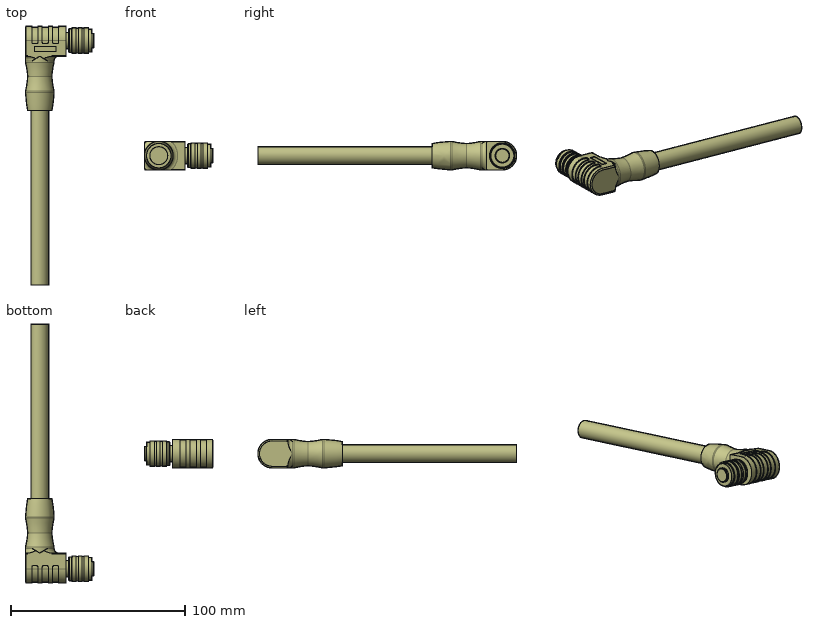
import cadquery as cq
import math


HEIGHT = 16.5
HALF_HEIGHT = HEIGHT / 2
BLOCK_LEFT = -HALF_HEIGHT
BLOCK_RIGHT = 15.05
BLOCK_FRONT = -9.0
BLOCK_EDGE_CHAMFER = 0.4
END_CHAMFER_DEPTH = 1.0
END_CHAMFER_INSET = 0.4

FINGER_COUNT = 3
FINGER_WIDTH = 3.5
FINGER_PITCH = 5.95
FIRST_FINGER_X = -2.8
FINGER_DEPTH = 0.5
FINGER_FRONT = -1.8
FINGER_CORNER = 0.9

LABEL_LEFT = -2.9
LABEL_RIGHT = 9.3
LABEL_BACK = -3.5
LABEL_FRONT = -6.3
LABEL_DEPTH = 0.2

COLLAR_RADIUS = HALF_HEIGHT
FILLET_RADIUS = 2.6
COLLAR_Y = -12.5
RELIEF_HALF_WIDTH = 5.8
WAIST_RADIUS = 7.0
WAIST_Y = -20.5
WAIST_SAG = 0.2
BAND_BACK = -29.0
BAND_FRONT = -29.8
GRIP_END = -40.2
GRIP_END_RADIUS = 7.0
TAPER_BULGE = 0.2
CABLE_RADIUS = 5.15
CABLE_LENGTH = 100.0

NECK_RADIUS = 4.75
CARRIER_RADIUS = 4.15
CARRIER_END = 31.15
CARRIER_CHAMFER = 0.35

NUT_START = 16.4
NUT_SHOULDER = 18.6
NUT_BODY_END = 28.0
NUT_END = 29.8
REAR_RADIUS = 6.9
REAR_CHAMFER = 0.6
NUT_RADIUS = 7.35
NUT_END_RADIUS = 6.6
GROOVE_DEPTH = 0.2
GROOVES = ((20.9, 22.2), (24.3, 25.4))
UNDERCUT_START = 18.2
UNDERCUT_RADIUS = REAR_RADIUS - GROOVE_DEPTH


def back_outline(margin, front):
    """Block section in the YZ plane: a half round back with straight sides, shrunk by margin."""
    half = HALF_HEIGHT - margin
    return (
        cq.Workplane("YZ")
        .moveTo(front, -half)
        .lineTo(0, -half)
        .threePointArc((half, 0), (0, half))
        .lineTo(front, half)
        .close()
    )


def make_block():
    length = BLOCK_RIGHT - BLOCK_LEFT
    block = back_outline(0, BLOCK_FRONT).extrude(length).translate((BLOCK_LEFT, 0, 0))
    block = block.faces("<Y").edges("|X").chamfer(BLOCK_EDGE_CHAMFER)
    end_edges = block.faces("<X").edges("not(<Y)")
    return end_edges.chamfer(END_CHAMFER_DEPTH, END_CHAMFER_INSET)


def finger_recess(center_x):
    """Wrap-around shell, open at the front, with rounded front corners."""
    back = 2 * HALF_HEIGHT
    band = (
        cq.Workplane("XY")
        .box(FINGER_WIDTH, back - FINGER_FRONT, HEIGHT, centered=(True, False, True))
        .edges("|Z and <Y")
        .fillet(FINGER_CORNER)
        .translate((center_x, FINGER_FRONT, 0))
    )
    core = back_outline(FINGER_DEPTH, BLOCK_FRONT).extrude(FINGER_WIDTH)
    return band.cut(core.translate((center_x - FINGER_WIDTH / 2, 0, 0)))


def label_recess():
    """Shallow rectangular pocket in the top face."""
    length = LABEL_RIGHT - LABEL_LEFT
    width = LABEL_BACK - LABEL_FRONT
    pocket = cq.Workplane("XY").box(length, width, LABEL_DEPTH, centered=False)
    return pocket.translate((LABEL_LEFT, LABEL_FRONT, HALF_HEIGHT - LABEL_DEPTH))


def make_root():
    """Flared foot of the grip, trimmed flush with the sides and the left end of the block.

    Triangular reliefs at top and bottom leave the round collar bare, so the flare fades out there.
    """
    flare_front = BLOCK_FRONT - FILLET_RADIUS
    arc_reach = FILLET_RADIUS * (1 - math.sqrt(0.5))
    flare = (
        cq.Workplane("XY")
        .moveTo(0, 0)
        .lineTo(COLLAR_RADIUS + FILLET_RADIUS, 0)
        .lineTo(COLLAR_RADIUS + FILLET_RADIUS, BLOCK_FRONT)
        .threePointArc(
            (COLLAR_RADIUS + arc_reach, BLOCK_FRONT - arc_reach),
            (COLLAR_RADIUS, flare_front),
        )
        .lineTo(COLLAR_RADIUS, COLLAR_Y)
        .lineTo(0, COLLAR_Y)
        .close()
        .revolve(360, (0, 0, 0), (0, 1, 0))
    )
    trim_back = BLOCK_FRONT + BLOCK_EDGE_CHAMFER
    trim = cq.Workplane("XY").box(
        BLOCK_RIGHT - BLOCK_LEFT, trim_back - COLLAR_Y, HEIGHT, centered=(False, False, True)
    ).translate((BLOCK_LEFT, COLLAR_Y, 0))
    relief = (
        cq.Workplane("XY")
        .moveTo(0, BLOCK_FRONT)
        .lineTo(RELIEF_HALF_WIDTH, COLLAR_Y)
        .lineTo(-RELIEF_HALF_WIDTH, COLLAR_Y)
        .close()
        .extrude(HALF_HEIGHT, both=True)
    )
    return flare.intersect(trim).cut(relief)


def make_grip_and_cable():
    waist_middle_radius = (COLLAR_RADIUS + WAIST_RADIUS) / 2 - WAIST_SAG
    upper_middle = (waist_middle_radius, (COLLAR_Y + WAIST_Y) / 2)
    lower_middle = (waist_middle_radius, (WAIST_Y + BAND_BACK) / 2)
    taper_middle = (
        (COLLAR_RADIUS + GRIP_END_RADIUS) / 2 + TAPER_BULGE,
        (BAND_FRONT + GRIP_END) / 2,
    )
    cable_end = GRIP_END - CABLE_LENGTH
    return (
        cq.Workplane("XY")
        .moveTo(0, BLOCK_FRONT)
        .lineTo(COLLAR_RADIUS, BLOCK_FRONT)
        .lineTo(COLLAR_RADIUS, COLLAR_Y)
        .threePointArc(upper_middle, (WAIST_RADIUS, WAIST_Y))
        .threePointArc(lower_middle, (COLLAR_RADIUS, BAND_BACK))
        .lineTo(COLLAR_RADIUS, BAND_FRONT)
        .threePointArc(taper_middle, (GRIP_END_RADIUS, GRIP_END))
        .lineTo(CABLE_RADIUS, GRIP_END)
        .lineTo(CABLE_RADIUS, cable_end)
        .lineTo(0, cable_end)
        .close()
        .revolve(360, (0, 0, 0), (0, 1, 0))
    )


def make_carrier():
    neck = cq.Workplane("YZ").workplane(offset=BLOCK_RIGHT).circle(NECK_RADIUS)
    neck = neck.extrude(NUT_SHOULDER - BLOCK_RIGHT)
    tip = cq.Workplane("YZ").workplane(offset=NUT_SHOULDER).circle(CARRIER_RADIUS)
    tip = tip.extrude(CARRIER_END - NUT_SHOULDER).faces(">X").chamfer(CARRIER_CHAMFER)
    return neck.union(tip)


def make_housing(carrier):
    housing = make_block().cut(label_recess())
    for index in range(FINGER_COUNT):
        housing = housing.cut(finger_recess(FIRST_FINGER_X + index * FINGER_PITCH))
    return housing.union(make_root()).union(make_grip_and_cable()).union(carrier)


def make_nut(carrier):
    groove_radius = NUT_RADIUS - GROOVE_DEPTH
    profile = (
        cq.Workplane("XY")
        .moveTo(NUT_START, 0)
        .lineTo(NUT_START, REAR_RADIUS - REAR_CHAMFER)
        .lineTo(NUT_START + REAR_CHAMFER, REAR_RADIUS)
        .lineTo(UNDERCUT_START, REAR_RADIUS)
        .lineTo(UNDERCUT_START, UNDERCUT_RADIUS)
        .lineTo(NUT_SHOULDER, UNDERCUT_RADIUS)
        .lineTo(NUT_SHOULDER, NUT_RADIUS)
    )
    for start, end in GROOVES:
        profile = (
            profile.lineTo(start, NUT_RADIUS)
            .lineTo(start, groove_radius)
            .lineTo(end, groove_radius)
            .lineTo(end, NUT_RADIUS)
        )
    profile = (
        profile.lineTo(NUT_BODY_END, NUT_RADIUS)
        .lineTo(NUT_BODY_END, NUT_END_RADIUS)
        .lineTo(NUT_END, NUT_END_RADIUS)
        .lineTo(NUT_END, 0)
        .close()
    )
    return profile.revolve(360, (0, 0, 0), (1, 0, 0)).cut(carrier)


carrier = make_carrier()
housing = make_housing(carrier)
nut = make_nut(carrier)
result = cq.Compound.makeCompound([housing.val(), nut.val()])